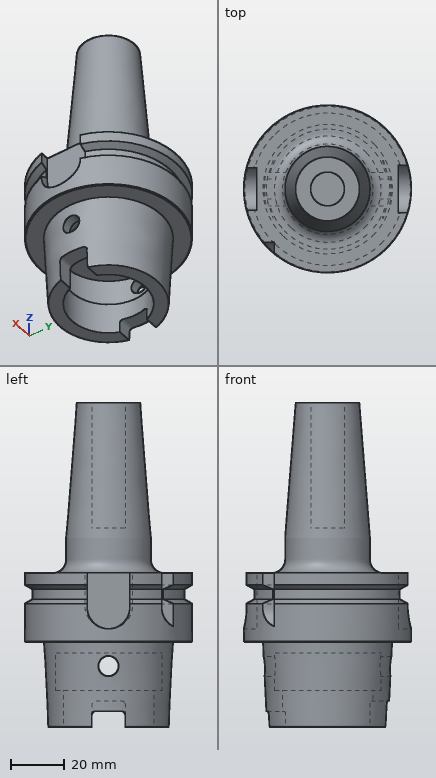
import cadquery as cq
import math


nose_top_z = 90.0
nose_tip_radius = 12.0
neck_radius = 16.0
nose_half_angle = 4.5
neck_top_z = nose_top_z - (neck_radius - nose_tip_radius) / math.tan(math.radians(nose_half_angle))
neck_fillet = 5.0
tool_bore_diameter = 12.7
tool_bore_depth = 47.0

flange_radius = 31.5
flange_top_z = 26.0
flange_edge_chamfer = 0.4
groove_center_z = 18.0
groove_mouth_width = 7.0
groove_root_radius = 28.65
groove_wall_angle = 30.0
groove_mouth_top_z = groove_center_z + groove_mouth_width / 2
groove_mouth_bottom_z = groove_center_z - groove_mouth_width / 2
groove_wall_rise = (flange_radius - groove_root_radius) * math.tan(math.radians(groove_wall_angle))

slot_floor_x = 26.5
slot_bottom_z = 5.0
left_slot_width = 16.0
right_slot_width = 18.0
notch_offset = 20.0
notch_cutter_radius = 8.0

shank_length = 32.0
shank_top_radius = 24.33
shank_taper = 1 / 20
shank_bottom_radius = shank_top_radius - shank_taper * shank_length
shank_end_chamfer_height = 0.9
shank_end_chamfer_width = 0.15

cavity_mouth_diameter = 34.0
cavity_undercut_diameter = 40.0
cavity_undercut_bottom_z = -18.0
cavity_top_z = -4.0

key_slot_width = 12.54
key_slot_corner_radius = 1.5
left_key_slot_depth = 6.0
right_key_slot_depth = 10.0
cross_hole_diameter = 7.5
cross_hole_z = -9.0


def make_body():
    """Revolve the half section: shank, grooved flange and tapered nose."""
    chamfer_start_radius = shank_bottom_radius + shank_taper * shank_end_chamfer_height
    fillet_top_z = flange_top_z + neck_fillet
    fillet_mid = neck_fillet * (1 - math.sqrt(0.5))
    return (
        cq.Workplane("XZ")
        .moveTo(0, -shank_length)
        .lineTo(shank_bottom_radius - shank_end_chamfer_width, -shank_length)
        .lineTo(chamfer_start_radius, -shank_length + shank_end_chamfer_height)
        .lineTo(shank_top_radius, 0)
        .lineTo(flange_radius - flange_edge_chamfer, 0)
        .lineTo(flange_radius, flange_edge_chamfer)
        .lineTo(flange_radius, groove_mouth_bottom_z)
        .lineTo(groove_root_radius, groove_mouth_bottom_z + groove_wall_rise)
        .lineTo(groove_root_radius, groove_mouth_top_z - groove_wall_rise)
        .lineTo(flange_radius, groove_mouth_top_z)
        .lineTo(flange_radius, flange_top_z)
        .lineTo(neck_radius + neck_fillet, flange_top_z)
        .threePointArc(
            (neck_radius + fillet_mid, flange_top_z + fillet_mid),
            (neck_radius, fillet_top_z),
        )
        .lineTo(neck_radius, neck_top_z)
        .lineTo(nose_tip_radius, nose_top_z)
        .lineTo(0, nose_top_z)
        .close()
        .revolve(360, (0, 0), (0, 1))
    )


def make_tool_bore():
    """Blind bore entering from the nose tip."""
    return (
        cq.Workplane("XY")
        .workplane(offset=nose_top_z - tool_bore_depth)
        .circle(tool_bore_diameter / 2)
        .extrude(tool_bore_depth)
    )


def make_cavity():
    """Hollow entering from the shank end, widening to a clamping undercut inside."""
    mouth = (
        cq.Workplane("XY")
        .workplane(offset=-shank_length)
        .circle(cavity_mouth_diameter / 2)
        .extrude(cavity_top_z + shank_length)
    )
    undercut = (
        cq.Workplane("XY")
        .workplane(offset=cavity_undercut_bottom_z)
        .circle(cavity_undercut_diameter / 2)
        .extrude(cavity_top_z - cavity_undercut_bottom_z)
    )
    return mouth.union(undercut)


def make_round_slot(center_y, radius, bottom_z):
    """U-shaped slot cutter along +X from the YZ plane, open through the flange top."""
    arc_center_z = bottom_z + radius
    return (
        cq.Workplane("YZ")
        .moveTo(center_y - radius, flange_top_z)
        .lineTo(center_y - radius, arc_center_z)
        .threePointArc((center_y, bottom_z), (center_y + radius, arc_center_z))
        .lineTo(center_y + radius, flange_top_z)
        .close()
        .extrude(flange_radius)
    )


def make_drive_slot(side, width):
    """Flange drive slot on the +X (side = 1) or -X (side = -1) flank."""
    start_x = slot_floor_x if side > 0 else -slot_floor_x - flange_radius
    return make_round_slot(0, width / 2, slot_bottom_z).translate((start_x, 0, 0))


def make_orientation_notch():
    """Corner notch in the -X, -Y quadrant, left by the same cutter shape as the drive slot."""
    center_y = -notch_offset - notch_cutter_radius
    cutter = make_round_slot(center_y, notch_cutter_radius, slot_bottom_z)
    return cutter.translate((-notch_offset - flange_radius, 0, 0))


def make_key_slot(side, depth):
    """Key slot with rounded inner corners through one shank wall, open at the shank end."""
    return (
        cq.Workplane("XY")
        .workplane(offset=-shank_length)
        .center(side * shank_top_radius / 2, 0)
        .rect(shank_top_radius, key_slot_width)
        .extrude(depth)
        .edges("|X and >Z")
        .fillet(key_slot_corner_radius)
    )


def make_cross_hole():
    """Radial hole along X through both shank walls."""
    return (
        cq.Workplane("YZ")
        .center(0, cross_hole_z)
        .circle(cross_hole_diameter / 2)
        .extrude(shank_top_radius, both=True)
    )


result = (
    make_body()
    .cut(make_tool_bore())
    .cut(make_cavity())
    .cut(make_drive_slot(-1, left_slot_width))
    .cut(make_drive_slot(1, right_slot_width))
    .cut(make_orientation_notch())
    .cut(make_key_slot(-1, left_key_slot_depth))
    .cut(make_key_slot(1, right_key_slot_depth))
    .cut(make_cross_hole())
)